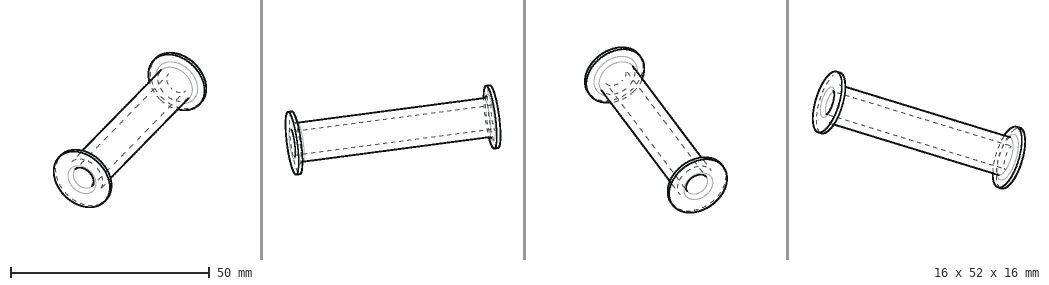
import cadquery as cq

length = 52.0
flange_diameter = 16.0
flange_thickness = 1.0
tube_diameter = 10.0
bore_diameter = 6.0
round_radius = 1.0


def cylinder_along_y(diameter, start, end):
    """Solid cylinder about the Y axis between two Y positions."""
    return (
        cq.Workplane("XZ", origin=(0, start, 0))
        .circle(diameter / 2)
        .extrude(start - end)
    )


half_length = length / 2
flange_inner_face = half_length - flange_thickness

body = cylinder_along_y(tube_diameter, -flange_inner_face, flange_inner_face)
for side in (-1, 1):
    flange = cylinder_along_y(flange_diameter, side * flange_inner_face, side * half_length)
    body = body.union(flange)

smallest_circles = cq.selectors.RadiusNthSelector(0)
body = body.edges("%CIRCLE").edges(smallest_circles).fillet(round_radius)

body = body.cut(cylinder_along_y(bore_diameter, -half_length, half_length))
result = body.faces("<Y or >Y").edges(smallest_circles).fillet(round_radius)